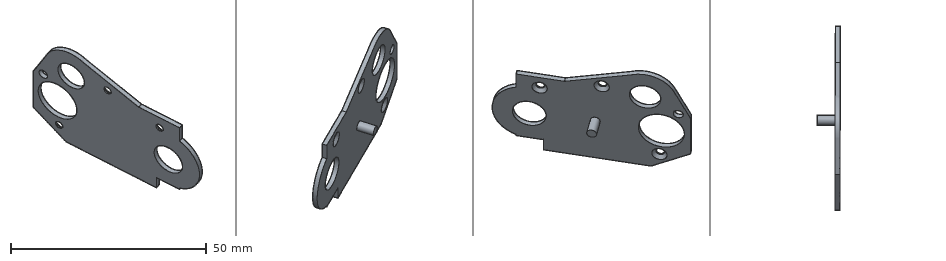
import cadquery as cq
import math

plate_thickness = 1.3
overall_depth = 5.9
overall_length = 51.83
overall_height = 34.02

left_x = -7.6
right_x = left_x + overall_length
bottom_z = -13.9
top_z = bottom_z + overall_height

left_edge_bottom_z = -7.1
left_edge_top_z = 6.35
bottom_edge_left_x = 2.7
notch_x = 30.8
notch_z = -10.1
shoulder_left_x = 25.3
shoulder_right_x = 38.0
shoulder_z = 13.05

upper_hole_x = 4.25
upper_hole_z = 11.77
corner_radius = top_z - upper_hole_z
corner_start_angle = math.radians(153.4)
corner_end_angle = math.radians(63.0)

lobe_radius = 9.45
lobe_center_x = right_x - lobe_radius
lobe_center_z = -0.78
lobe_half_height = math.sqrt(lobe_radius**2 - (shoulder_right_x - lobe_center_x) ** 2)

large_hole_diameter = 12.0
lobe_hole_diameter = 8.8
upper_hole_diameter = 8.2
locating_hole_diameter = 2.6
screw_hole_diameter = 2.2

plain_holes = [
    (large_hole_diameter, 0.0, 0.0),
    (lobe_hole_diameter, 34.5, -1.0),
    (upper_hole_diameter, upper_hole_x, upper_hole_z),
    (locating_hole_diameter, -4.43, 7.16),
]

screw_holes = [
    (15.58, 13.31),
    (31.8, 9.25),
    (0.5, -8.86),
]

countersink_diameter = 4.0
countersink_angle = math.radians(90)
countersink_depth = (countersink_diameter - screw_hole_diameter) / 2 / math.tan(countersink_angle / 2)

pin_diameter = 2.6
pin_x = 17.25
pin_z = 0.0


def corner_point(angle):
    """Point on the rounded upper left corner."""
    return (
        upper_hole_x + corner_radius * math.cos(angle),
        upper_hole_z + corner_radius * math.sin(angle),
    )


def extrude_to_rear(sketch, depth):
    """Extrude an XZ sketch toward +Y; the XZ workplane normal is -Y."""
    return sketch.extrude(-depth)


def make_plate():
    """Flat plate with a rounded corner and a round end lobe."""
    outline = (
        cq.Workplane("XZ")
        .moveTo(bottom_edge_left_x, bottom_z)
        .lineTo(left_x, left_edge_bottom_z)
        .lineTo(left_x, left_edge_top_z)
        .lineTo(*corner_point(corner_start_angle))
        .threePointArc((upper_hole_x, top_z), corner_point(corner_end_angle))
        .lineTo(shoulder_left_x, shoulder_z)
        .lineTo(shoulder_right_x, shoulder_z)
        .lineTo(shoulder_right_x, lobe_center_z + lobe_half_height)
        .threePointArc(
            (right_x, lobe_center_z),
            (shoulder_right_x, lobe_center_z - lobe_half_height),
        )
        .lineTo(shoulder_right_x, notch_z)
        .lineTo(notch_x, notch_z)
        .lineTo(notch_x, bottom_z)
        .close()
    )
    return extrude_to_rear(outline, plate_thickness)


def make_hole(diameter, x, z):
    """Cylinder that cuts one hole through the plate."""
    circle = cq.Workplane("XZ").center(x, z).circle(diameter / 2)
    return extrude_to_rear(circle, plate_thickness)


def make_countersink(x, z):
    """Cone that narrows from the rear face down to the screw hole diameter."""
    return (
        cq.Workplane("XZ", origin=(x, plate_thickness, z))
        .circle(countersink_diameter / 2)
        .workplane(offset=countersink_depth)
        .circle(screw_hole_diameter / 2)
        .loft()
    )


def make_pin():
    """Round pin, rooted in the plate and standing out of its rear face."""
    circle = cq.Workplane("XZ").center(pin_x, pin_z).circle(pin_diameter / 2)
    return extrude_to_rear(circle, overall_depth)


result = make_plate()
for hole_diameter, hole_x, hole_z in plain_holes:
    result = result.cut(make_hole(hole_diameter, hole_x, hole_z))
for screw_x, screw_z in screw_holes:
    result = result.cut(make_hole(screw_hole_diameter, screw_x, screw_z))
    result = result.cut(make_countersink(screw_x, screw_z))
result = result.union(make_pin())